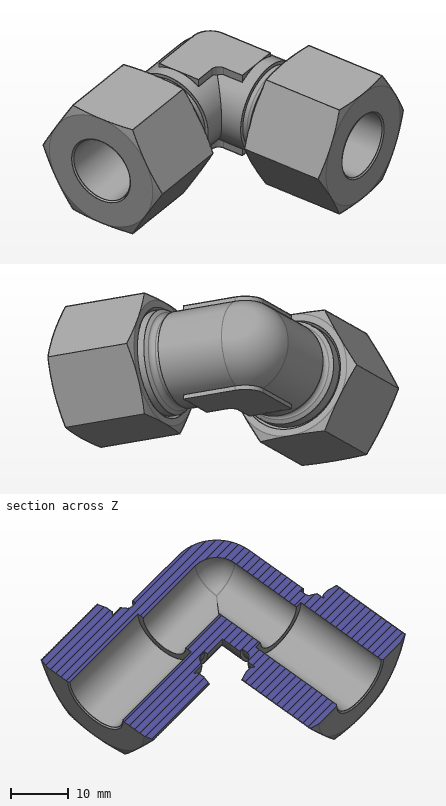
import cadquery as cq
import math

body_diameter = 17.0
body_radius = body_diameter / 2
body_length = 12.5
neck_radius = 15.75 / 2
neck_end = 13.42
flare_end = 14.4
flare_radius = 8.6
collar_radius = 18.55 / 2
collar_start = 14.9

hex_flats = 22.0
hex_corners = hex_flats / math.cos(math.pi / 6)
arm_length = 45.2 - hex_corners / 2
nut_start_x = 15.9
nut_start_y = 16.45
nut_bevel = 0.5
nut_mouth_radius = 9.75
nut_mouth_depth = 0.5

bore_radius = 9.6 / 2
socket_radius = 12.0 / 2
socket_start = 14.0
socket_chamfer = 0.25

pad_outer_offset = 3.55
pad_inner_offset = 4.8
pad_length = 10.2
pad_inner_fillet = 1.45


def revolve_about_x(profile):
    return profile.close().revolve(360, (0, 0, 0), (1, 0, 0))


def make_arm_body():
    """Solid arm along +X: barrel, neck, concave flare, conical shoulder and collar."""
    flare_rise = flare_radius - neck_radius
    flare_run = flare_end - neck_end
    arc_radius = (flare_run**2 + flare_rise**2) / (2 * flare_rise)
    half_angle = math.atan2(flare_rise, flare_run)
    flare_middle = (
        neck_end + arc_radius * math.sin(half_angle),
        neck_radius + arc_radius * (1 - math.cos(half_angle)),
    )
    profile = (
        cq.Workplane("XY")
        .lineTo(0, body_radius)
        .lineTo(body_length, body_radius)
        .lineTo(body_length, neck_radius)
        .lineTo(neck_end, neck_radius)
        .threePointArc(flare_middle, (flare_end, flare_radius))
        .lineTo(collar_start, collar_radius)
        .lineTo(arm_length, collar_radius)
        .lineTo(arm_length, 0)
    )
    return revolve_about_x(profile)


def make_nut(start):
    """Hexagonal nut along +X, bevelled at both ends, with a countersunk mouth at its inner end."""
    hexagon = (
        cq.Workplane("YZ", origin=(start, 0, 0))
        .polygon(6, hex_corners)
        .extrude(arm_length - start)
    )
    bevel_profile = (
        cq.Workplane("XY")
        .moveTo(start, 0)
        .lineTo(start, hex_flats / 2)
        .lineTo(start + nut_bevel, hex_corners / 2)
        .lineTo(arm_length - nut_bevel, hex_corners / 2)
        .lineTo(arm_length, hex_flats / 2)
        .lineTo(arm_length, 0)
    )
    mouth_profile = (
        cq.Workplane("XY")
        .moveTo(start, 0)
        .lineTo(start, nut_mouth_radius)
        .lineTo(start + nut_mouth_depth, collar_radius)
        .lineTo(start + nut_mouth_depth, 0)
    )
    return hexagon.intersect(revolve_about_x(bevel_profile)).cut(revolve_about_x(mouth_profile))


def make_arm_bore():
    """Bore along +X with a tube socket chamfered at its open end."""
    profile = (
        cq.Workplane("XY")
        .lineTo(0, bore_radius)
        .lineTo(socket_start, bore_radius)
        .lineTo(socket_start, socket_radius)
        .lineTo(arm_length - socket_chamfer, socket_radius)
        .lineTo(arm_length, socket_radius + socket_chamfer)
        .lineTo(arm_length, 0)
    )
    return revolve_about_x(profile)


def turn_to_minus_y(arm):
    return arm.rotate((0, 0, 0), (0, 0, 1), -90)


def make_pads():
    """L-shaped block whose top and bottom faces are tangent to the barrels."""
    return (
        cq.Workplane("XY", origin=(0, 0, -body_radius))
        .moveTo(-pad_outer_offset, -pad_length)
        .lineTo(pad_inner_offset, -pad_length)
        .lineTo(pad_inner_offset, -pad_inner_offset - pad_inner_fillet)
        .radiusArc((pad_inner_offset + pad_inner_fillet, -pad_inner_offset), pad_inner_fillet)
        .lineTo(pad_length, -pad_inner_offset)
        .lineTo(pad_length, pad_outer_offset)
        .lineTo(0, pad_outer_offset)
        .radiusArc((-pad_outer_offset, 0), -pad_outer_offset)
        .close()
        .extrude(body_diameter)
    )


arm_body = make_arm_body()
body = arm_body.union(turn_to_minus_y(arm_body))
body = body.union(cq.Workplane("XY").sphere(body_radius)).union(make_pads())

nuts = make_nut(nut_start_x).union(turn_to_minus_y(make_nut(nut_start_y)))

arm_bore = make_arm_bore()
bores = arm_bore.union(turn_to_minus_y(arm_bore)).union(cq.Workplane("XY").sphere(bore_radius))

result = body.union(nuts).cut(bores)